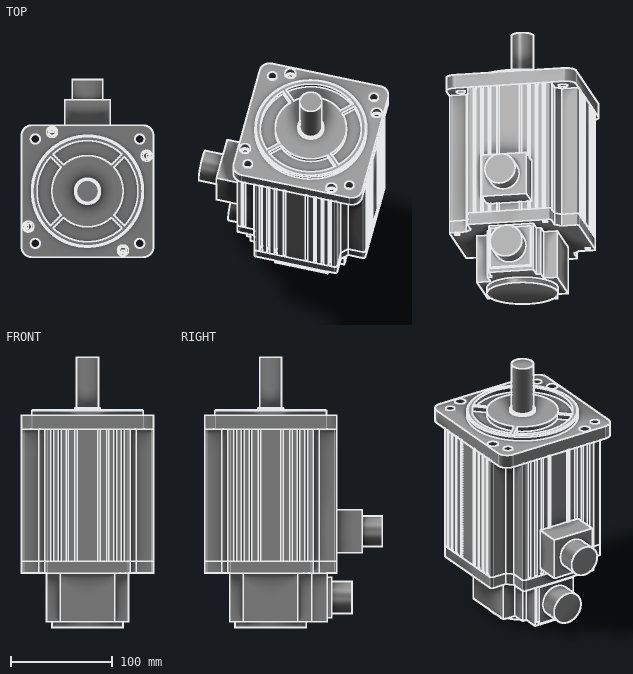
import cadquery as cq

side = 130.0
half_side = side / 2
overall_depth = 175.0

disc_height = 5.5
cover_top = 53.5
cap_top = 65.5
stator_top = 195.2
flange_top = 209.0
pilot_top = 214.5
seal_top = 216.3
shaft_top = 266.0

flange_corner_radius = 10.5
pilot_radius = 55.0
pilot_chamfer = 1.3
recess_outer_radius = 49.7
recess_inner_radius = 35.0
recess_depth = pilot_top - flange_top
spoke_width = 3.5
spoke_angle = 45
mount_hole_radius = 4.5
mount_hole_offset = 51.3

screw_long_offset = 58.3
screw_short_offset = 34.8
screw_clearance_radius = 3.5
screw_head_radius = 5.3
screw_head_depth = 8.5
screw_tap_radius = 2.5

notch_edge = 42.0
notch_chamfer_end = 48.0
notch_chamfer = notch_chamfer_end - notch_edge
notch_round = 2.5

grooves = [
    (11.2, 2.5, 1.0),
    (20.0, 2.5, 6.6),
    (27.5, 2.7, 6.6),
    (34.8, 3.0, 6.6),
]

wall_slot_steps = [
    (56.0, 58.5, 0.8),
    (58.5, 60.0, 1.5),
]

cover_half_width = 40.5
cover_notch_edge = 26.9
disc_radius = 35.0
outlet_half_width = 22.3
outlet_end = 55.9

encoder_plug_z = 29.5
encoder_plate_size = 40.2
encoder_plate_end = 60.0
encoder_plug_radius = 16.0
encoder_plug_end = 80.0

power_plug_z = 94.7
power_block_width = 45.0
power_block_height = 42.5
power_block_end = 90.2
power_plug_radius = 15.2
power_plug_end = overall_depth - half_side

shaft_radius = 11.0
seal_radius = 12.8
seal_chamfer = 0.5

quarter_turns = [0, 90, 180, 270]


def box_between(x0, x1, y0, y1, z0, z1):
    """Box from its two opposite corners."""
    return cq.Workplane("XY").box(x1 - x0, y1 - y0, z1 - z0, centered=False).translate((x0, y0, z0))


def upright_cylinder(radius, z0, z1, x=0.0, y=0.0):
    return cq.Workplane("XY", origin=(x, y, z0)).circle(radius).extrude(z1 - z0)


def plug_cylinder(radius, y0, y1, z):
    """Cylinder along +Y at height z."""
    return cq.Workplane("XZ", origin=(0, y0, z)).circle(radius).extrude(-(y1 - y0))


def around_axis(shape):
    """Four copies of a shape, a quarter turn apart about the motor axis."""
    copies = cq.Workplane("XY")
    for angle in quarter_turns:
        copies = copies.add(shape.rotate((0, 0, 0), (0, 0, 1), angle))
    return copies


def cut_around_axis(body, cutter):
    for tool in around_axis(cutter).vals():
        body = body.cut(cq.Workplane(tool))
    return body


def screw_hole(radius, z0, z1):
    """Cylinder at the position of the tie screw on the +X side."""
    return upright_cylinder(radius, z0, z1, screw_long_offset, screw_short_offset)


def notched_square(z0, z1):
    """Square prism with a notch at each corner, chamfered inside and rounded outside."""
    prism = box_between(-half_side, half_side, -half_side, half_side, z0, z1)
    notch = box_between(notch_edge, side, notch_edge, side, z0, z1)
    notch = notch.edges("|Z and <X and <Y").chamfer(notch_chamfer)
    prism = cut_around_axis(prism, notch)
    for x, y in [(half_side, notch_edge), (notch_edge, half_side)]:
        for sign_x in (-1, 1):
            for sign_y in (-1, 1):
                corner = cq.selectors.NearestToPointSelector((sign_x * x, sign_y * y, (z0 + z1) / 2))
                prism = prism.edges(corner).fillet(notch_round)
    return prism


def make_flange():
    plate = box_between(-half_side, half_side, -half_side, half_side, stator_top, flange_top)
    plate = plate.edges("|Z").fillet(flange_corner_radius)
    pilot = upright_cylinder(pilot_radius, flange_top, pilot_top).faces(">Z").chamfer(pilot_chamfer)
    flange = plate.union(pilot)

    recess_floor = pilot_top - recess_depth
    recess = upright_cylinder(recess_outer_radius, recess_floor, pilot_top)
    recess = recess.cut(upright_cylinder(recess_inner_radius, recess_floor, pilot_top))
    spoke = box_between(0, pilot_radius, -spoke_width / 2, spoke_width / 2, recess_floor, pilot_top)
    recess = cut_around_axis(recess, spoke.rotate((0, 0, 0), (0, 0, 1), spoke_angle))
    flange = flange.cut(recess)

    mount_hole = upright_cylinder(mount_hole_radius, stator_top, flange_top)
    flange = cut_around_axis(flange, mount_hole.translate((mount_hole_offset, mount_hole_offset, 0)))
    flange = cut_around_axis(flange, screw_hole(screw_clearance_radius, stator_top, flange_top))
    return cut_around_axis(flange, screw_hole(screw_head_radius, flange_top - screw_head_depth, flange_top))


def make_stator():
    stator = notched_square(cap_top, stator_top)
    for centre, width, depth in grooves:
        for position in (-centre, centre):
            groove = box_between(
                half_side - depth, half_side, position - width / 2, position + width / 2, cap_top, stator_top
            )
            stator = cut_around_axis(stator, groove)
    for start, end, depth in wall_slot_steps:
        stator = stator.cut(box_between(-notch_edge, -notch_edge + depth, start, end, cap_top, stator_top))
    return stator


def make_end_cap():
    cap = notched_square(cover_top, cap_top)
    return cut_around_axis(cap, screw_hole(screw_tap_radius, cover_top, cap_top))


def make_encoder_cover():
    reach = cover_half_width
    cover = box_between(-reach, reach, -reach, reach, disc_height, cover_top)
    notch = box_between(cover_notch_edge, reach, cover_notch_edge, reach, disc_height, cover_top)
    cover = cut_around_axis(cover, notch)
    outlet = box_between(-outlet_half_width, outlet_half_width, 0, outlet_end, disc_height, cover_top)
    return cover.union(outlet).union(upright_cylinder(disc_radius, 0, disc_height))


def make_encoder_connector():
    half_plate = encoder_plate_size / 2
    plate = box_between(
        -half_plate, half_plate, outlet_end, encoder_plate_end,
        encoder_plug_z - half_plate, encoder_plug_z + half_plate,
    )
    plug = plug_cylinder(encoder_plug_radius, encoder_plate_end, encoder_plug_end, encoder_plug_z)
    return plate.union(plug)


def make_power_connector():
    half_width = power_block_width / 2
    half_height = power_block_height / 2
    block = box_between(
        -half_width, half_width, half_side, power_block_end,
        power_plug_z - half_height, power_plug_z + half_height,
    )
    plug = plug_cylinder(power_plug_radius, power_block_end, power_plug_end, power_plug_z)
    return block.union(plug)


def make_shaft():
    return upright_cylinder(shaft_radius, pilot_top, shaft_top)


def make_shaft_seal():
    seal = upright_cylinder(seal_radius, pilot_top, seal_top).faces(">Z").chamfer(seal_chamfer)
    return seal.cut(upright_cylinder(shaft_radius, pilot_top, seal_top))


flange = make_flange()
stator = make_stator()
end_cap = make_end_cap()
encoder_cover = make_encoder_cover()
encoder_connector = make_encoder_connector()
power_connector = make_power_connector()
shaft = make_shaft()
shaft_seal = make_shaft_seal()

result = cq.Compound.makeCompound([
    flange.val(),
    stator.val(),
    end_cap.val(),
    encoder_cover.val(),
    encoder_connector.val(),
    power_connector.val(),
    shaft.val(),
    shaft_seal.val(),
])